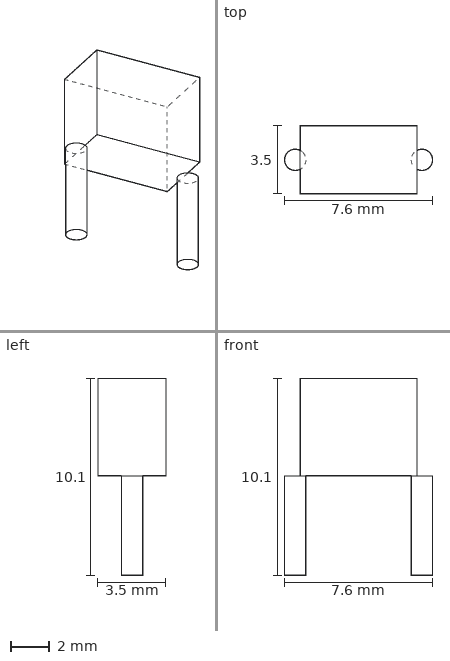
import cadquery as cq

body_length = 6.0
body_width = 3.5
body_height = 5.0

lead_diameter = 1.1
lead_pitch = 6.5
lead_length = 5.1


def make_body():
    """Plain block with its underside on Z = 0."""
    return cq.Workplane("XY").box(
        body_length, body_width, body_height, centered=(True, True, False)
    )


def make_lead(x):
    """Round lead hanging down from the plane of the body's underside."""
    return cq.Workplane("XY").center(x, 0).circle(lead_diameter / 2).extrude(-lead_length)


body = make_body()
leads = [make_lead(side * lead_pitch / 2) for side in (-1, 1)]

result = cq.Compound.makeCompound([body.val(), *[lead.val() for lead in leads]])